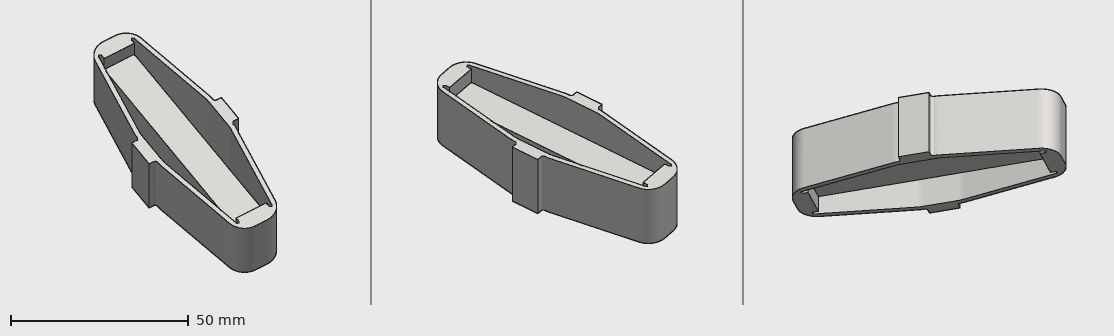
import cadquery as cq
import math

length = 78.8
width = 30.0
height = 20.0

leaf_angle = math.radians(10)
leaf_thickness = 1.5
crown_y = 12.7
bend_radius = 10.0
end_radius = 5.8
slot_tip_radius = 0.5

pad_length = 9.0
pad_fillet = 0.8

bar_length = 68.2
bar_side = 10.1

bend_x = pad_length / 2 + pad_fillet + bend_radius * math.tan(leaf_angle / 2)
inner_bend_x = bend_x - leaf_thickness * math.tan(leaf_angle / 2)
inner_crown_y = crown_y - leaf_thickness


def make_outer_block():
    """Tapered block with rounded corners and bends, before the pads and openings."""
    half_length = length / 2
    end_y = crown_y - (half_length - bend_x) * math.tan(leaf_angle)
    block = (
        cq.Workplane("XY")
        .moveTo(bend_x, crown_y)
        .lineTo(half_length, end_y)
        .lineTo(half_length, -end_y)
        .lineTo(bend_x, -crown_y)
        .lineTo(-bend_x, -crown_y)
        .lineTo(-half_length, -end_y)
        .lineTo(-half_length, end_y)
        .lineTo(-bend_x, crown_y)
        .close()
        .extrude(height)
    )
    block = block.faces("<X or >X").edges("|Z").fillet(end_radius)
    return block.faces("<Y or >Y").edges("|Z").fillet(bend_radius)


def make_pad():
    """Pad on the +Y leaf, flaring into the leaf through concave fillets."""
    half_pad = pad_length / 2
    toe_x = half_pad + pad_fillet
    fillet_top_y = crown_y + pad_fillet
    return (
        cq.Workplane("XY")
        .moveTo(-toe_x, inner_crown_y)
        .lineTo(-toe_x, crown_y)
        .radiusArc((-half_pad, fillet_top_y), -pad_fillet)
        .lineTo(-half_pad, width / 2)
        .lineTo(half_pad, width / 2)
        .lineTo(half_pad, fillet_top_y)
        .radiusArc((toe_x, crown_y), -pad_fillet)
        .lineTo(toe_x, inner_crown_y)
        .close()
        .extrude(height)
    )


def make_window():
    """Opening between the +Y leaf and the bar, with rounded slot tips."""
    bar_y = bar_side / 2
    tip_x = inner_bend_x + (inner_crown_y - bar_y) / math.tan(leaf_angle)
    window = (
        cq.Workplane("XY")
        .polyline([
            (-tip_x, bar_y),
            (tip_x, bar_y),
            (inner_bend_x, inner_crown_y),
            (-inner_bend_x, inner_crown_y),
        ])
        .close()
        .extrude(height)
    )
    window = window.faces(">Y").edges("|Z").fillet(bend_radius - leaf_thickness)
    return window.faces("<Y").edges("|Z").fillet(slot_tip_radius)


def make_frame():
    pad = make_pad()
    frame = make_outer_block().union(pad).union(pad.mirror("XZ"))

    window = make_window()
    bar_space = cq.Workplane("XY").rect(bar_length, bar_side).extrude(height)
    return frame.cut(window).cut(window.mirror("XZ")).cut(bar_space)


def make_bar():
    """Square bar at mid height, touching both end blocks."""
    return cq.Workplane("XY").box(bar_length, bar_side, bar_side).translate((0, 0, height / 2))


frame = make_frame()
bar = make_bar()

result = cq.Compound.makeCompound([frame.solids().val(), bar.val()])